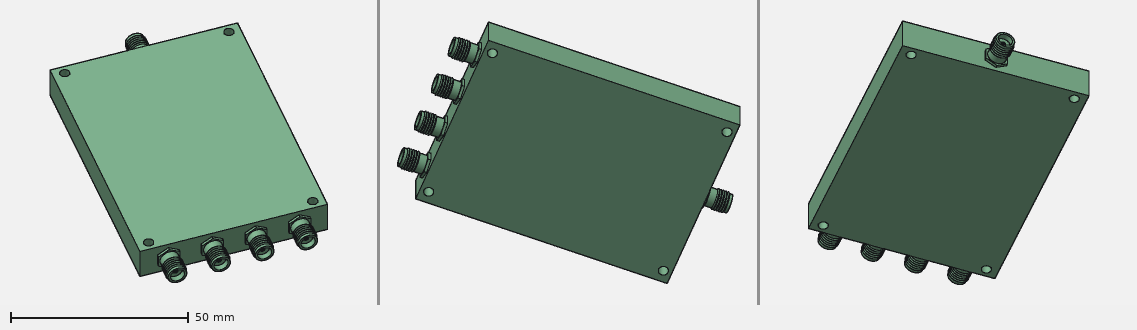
import cadquery as cq

overall_length = 91.75
body_length = 76.2
body_width = 56.15
body_height = 10.1
cover_thickness = 1.5
base_height = body_height - cover_thickness

hole_spacing_x = 71.1
hole_spacing_y = 49.1
hole_diameter = 2.8
panel_notch_radius = 3.85

connector_length = (overall_length - body_length) / 2
connector_height = body_height / 2
output_count = 4
output_pitch = 13.0

nut_flats = 6.4
nut_thickness = 0.8
barrel_radius = 2.8
thread_radius = 3.1
thread_pitch = 0.7
thread_turns = 5
tip_lip = 0.9
bore_radius = 2.1
bore_depth = 1.8
socket_radius = 0.5
contact_radius = 0.69
contact_height = 0.2


def centred_box(length, width, height, bottom):
    return cq.Workplane("XY").workplane(offset=bottom).rect(length, width).extrude(height)


def screw_posts(radius, height, bottom):
    """Cylinders at the four screw positions."""
    return (
        cq.Workplane("XY")
        .workplane(offset=bottom)
        .rect(hole_spacing_x, hole_spacing_y, forConstruction=True)
        .vertices()
        .circle(radius)
        .extrude(height)
    )


def make_housing():
    """Base and cover, fused unmerged so the flush seams remain as edges."""
    base = centred_box(body_length, body_width, base_height, 0)
    cover = centred_box(body_length, body_width, cover_thickness, base_height)
    panel = centred_box(hole_spacing_x, hole_spacing_y, cover_thickness, base_height)
    panel = panel.cut(screw_posts(panel_notch_radius, cover_thickness, base_height))
    rim = cover.cut(panel)
    housing = base.union(rim, clean=False).union(panel, clean=False)
    return housing.cut(screw_posts(hole_diameter / 2, body_height, 0), clean=False)


def make_connector():
    """Connector along +X, its mounting face at X = 0 and its axis on the X axis."""
    bore_floor = connector_length - bore_depth
    contact_end = bore_floor + contact_height
    thread_end = connector_length - tip_lip
    thread_start = thread_end - thread_turns * thread_pitch

    profile = cq.Workplane("XZ").lineTo(0, barrel_radius).lineTo(thread_start, barrel_radius)
    for turn in range(thread_turns):
        ridge_start = thread_start + turn * thread_pitch
        profile = profile.lineTo(ridge_start + thread_pitch / 2, thread_radius)
        profile = profile.lineTo(ridge_start + thread_pitch, barrel_radius)
    barrel = (
        profile.lineTo(connector_length, barrel_radius)
        .lineTo(connector_length, bore_radius)
        .lineTo(bore_floor, bore_radius)
        .lineTo(bore_floor, contact_radius)
        .lineTo(contact_end, contact_radius)
        .lineTo(contact_end, socket_radius)
        .lineTo(bore_floor, socket_radius)
        .lineTo(bore_floor, 0)
        .close()
        .revolve(360, (0, 0, 0), (1, 0, 0))
    )
    nut = cq.Workplane("YZ").polygon(6, nut_flats, circumscribed=True).extrude(nut_thickness)
    return nut.union(barrel)


output_connector = make_connector().translate((body_length / 2, 0, connector_height))
input_connector = output_connector.mirror("YZ")

result = make_housing().union(input_connector, clean=False)
for port in range(output_count):
    port_y = (port - (output_count - 1) / 2) * output_pitch
    result = result.union(output_connector.translate((0, port_y, 0)), clean=False)